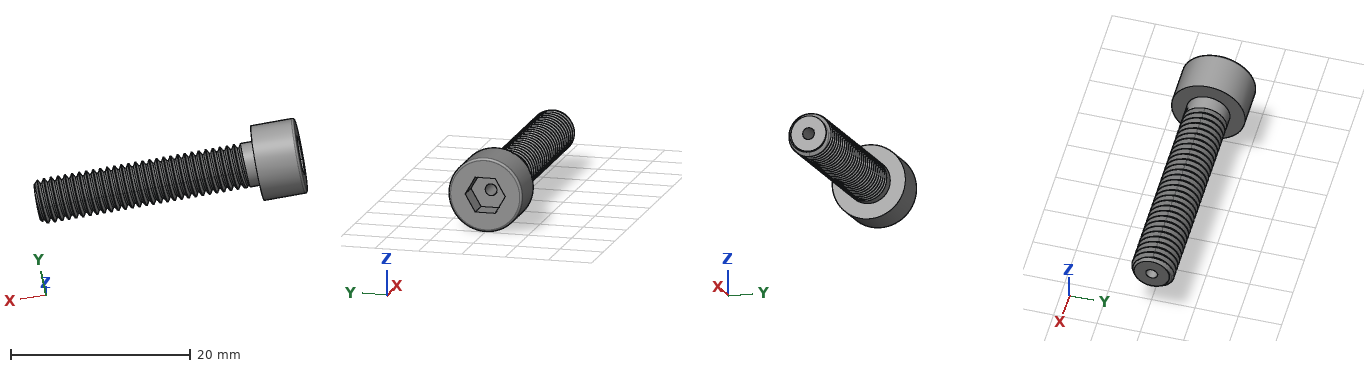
import cadquery as cq
import math

TOTAL_LENGTH = 29.9
HEAD_DIAMETER = 8.5
HEAD_HEIGHT = 4.9
HEAD_FILLET = 0.25
SOCKET_ACROSS_FLATS = 4.0
SOCKET_DEPTH = 2.5
BORE_DIAMETER = 1.35
SHANK_DIAMETER = 5.0
TIP_CHAMFER = 0.48

PITCH = 0.16 * SHANK_DIAMETER
THREAD_DEPTH = 0.45
CREST_FLAT = PITCH / 8
FLANK_SLOPE = math.tan(math.radians(30))
FIRST_GROOVE_X = 6.52
RUN_IN_TURNS = 0.35
CUT_CLEARANCE = 0.1

SHANK_RADIUS = SHANK_DIAMETER / 2
ROOT_RADIUS = SHANK_RADIUS - THREAD_DEPTH


def helix(radius, radius_change, turns):
    """Helix about Z from (radius, 0, 0), changing radius evenly over its length."""
    height = turns * PITCH
    if radius_change == 0:
        return cq.Wire.makeHelix(PITCH, height, radius).Edges()[0]
    angle = math.atan2(abs(radius_change), height)
    slant = 1 / math.cos(angle)
    sense = math.copysign(1, radius_change)
    return cq.Wire.makeHelix(
        PITCH * slant, height * slant, radius, angle=sense * math.degrees(angle)
    ).Edges()[0]


def groove_span_rails(start_turn, turns, start_lift=0.0):
    """Four corner helices of one stretch of groove about Z, sinking from start_lift to full depth."""
    outer_radius = SHANK_RADIUS + CUT_CLEARANCE
    outer_half_width = (PITCH - CREST_FLAT) / 2 + CUT_CLEARANCE * FLANK_SLOPE
    root_half_width = (PITCH - CREST_FLAT) / 2 - THREAD_DEPTH * FLANK_SLOPE
    corners = [
        (outer_radius, -outer_half_width),
        (ROOT_RADIUS, -root_half_width),
        (ROOT_RADIUS, root_half_width),
        (outer_radius, outer_half_width),
    ]
    rails = []
    for radius, offset in corners:
        place = cq.Location((0, 0, start_turn * PITCH + offset), (0, 0, 1), 360 * start_turn)
        rails.append(helix(radius + start_lift, -start_lift, turns).moved(place))
    return rails


def groove_cap(rails, end):
    """Flat profile face closing the groove cutter at one end (0 or 1) of a span."""
    return cq.Face.makeFromWires(cq.Wire.makePolygon([rail.positionAt(end) for rail in rails], close=True))


def make_groove_cutter():
    """Helical bar about X: a rising run-in, then full depth past the tip, starting at -Z."""
    spans = [groove_span_rails(-RUN_IN_TURNS, RUN_IN_TURNS, THREAD_DEPTH)]
    full_turns = math.ceil((TOTAL_LENGTH - FIRST_GROOVE_X) / PITCH) + 1
    for half_turn in range(2 * full_turns):
        spans.append(groove_span_rails(half_turn / 2, 1 / 2))

    faces = [groove_cap(spans[0], 0), groove_cap(spans[-1], 1)]
    for rails in spans:
        for i in range(len(rails)):
            faces.append(cq.Face.makeRuledSurface(rails[i - 1], rails[i]))
    cutter = cq.Solid.makeSolid(cq.Shell.makeShell(faces)).fix()
    return cq.Workplane(cutter).rotate((0, 0, 0), (0, 1, 0), 90).translate((FIRST_GROOVE_X, 0, 0))


def make_shank():
    shank = (
        cq.Workplane("YZ", origin=(HEAD_HEIGHT, 0, 0))
        .circle(SHANK_RADIUS)
        .extrude(TOTAL_LENGTH - HEAD_HEIGHT)
        .faces(">X")
        .chamfer(TIP_CHAMFER)
    )
    return shank.cut(make_groove_cutter())


def make_head():
    return (
        cq.Workplane("YZ")
        .circle(HEAD_DIAMETER / 2)
        .extrude(HEAD_HEIGHT)
        .faces("<X")
        .edges()
        .fillet(HEAD_FILLET)
    )


def make_socket():
    """Hexagonal key socket with two corners on the Y axis."""
    across_corners = SOCKET_ACROSS_FLATS / math.cos(math.radians(30))
    return cq.Workplane("YZ").polygon(6, across_corners).extrude(SOCKET_DEPTH)


def make_bore():
    return cq.Workplane("YZ").circle(BORE_DIAMETER / 2).extrude(TOTAL_LENGTH)


result = make_head().union(make_shank()).cut(make_socket()).cut(make_bore())